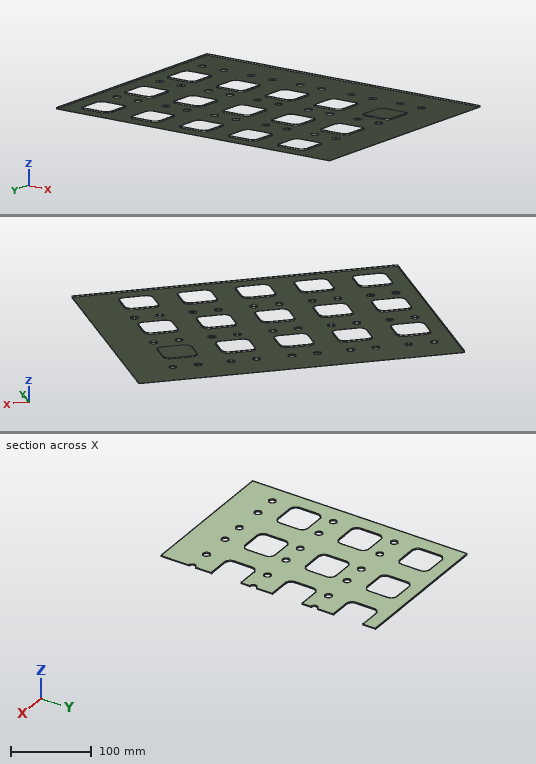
import cadquery as cq

plate_length = 418
plate_width = 316.0
plate_thickness = 2.0

column_count = 5
row_count = 3
column_span = 299.5
row_span = 179.7
column_pitch = column_span / (column_count - 1)
row_pitch = row_span / (row_count - 1)
first_column_inset = 43.0
first_row_inset = 40.0

blind_station = (column_count - 1, row_count - 1)
blind_skin = 0.5

window_size = 44.0
window_corner_radius = 8.8

hole_diameter = 9.5
hole_spacing = 32.5
hole_drop = 50
first_shifted_column = 3
pair_offset = -0.2
shifted_pair_offset = 3.15


def station_center(column, row):
    x = -plate_length / 2 + first_column_inset + column * column_pitch
    y = plate_width / 2 - first_row_inset - row * row_pitch
    return x, y


def hole_centers(column, row):
    x, y = station_center(column, row)
    x += shifted_pair_offset if column >= first_shifted_column else pair_offset
    return [(x + side * hole_spacing / 2, y - hole_drop) for side in (-1, 1)]


def station_cutter(column, row, depth):
    """Window and hole pair of one station, rising from the plate's bottom face."""
    bottom = cq.Workplane("XY").workplane(offset=-plate_thickness / 2)
    window = (
        bottom.center(*station_center(column, row))
        .rect(window_size, window_size)
        .extrude(depth)
        .edges("|Z")
        .fillet(window_corner_radius)
    )
    holes = bottom.pushPoints(hole_centers(column, row)).circle(hole_diameter / 2).extrude(depth)
    return window.add(holes).combine()


result = cq.Workplane("XY").box(plate_length, plate_width, plate_thickness)

for row in range(row_count):
    for column in range(column_count):
        is_blind = (column, row) == blind_station
        depth = plate_thickness - blind_skin if is_blind else plate_thickness
        result = result.cut(station_cutter(column, row, depth))